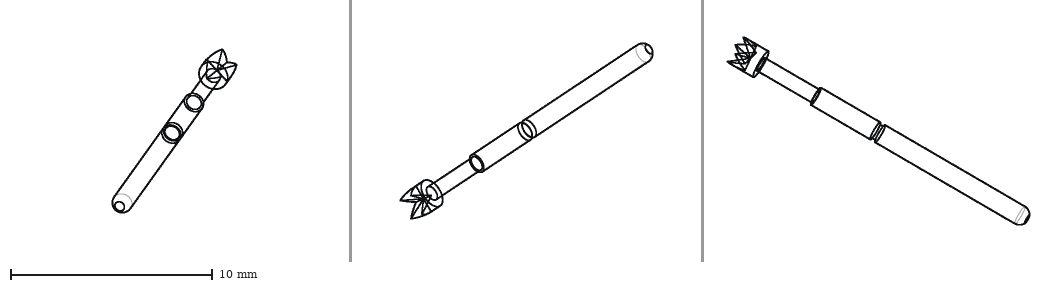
import cadquery as cq
import math

total_length = 17.0

head_diameter = 1.5
head_length = 1.5
crown_depth = 0.9
tooth_count = 4

plunger_diameter = 0.76
plunger_exposed_length = 3.2

sleeve_diameter = 1.0
tail_flat_diameter = 0.5

groove_offset = 3.6
groove_width = 0.28
groove_depth = 0.11

head_radius = head_diameter / 2
sleeve_radius = sleeve_diameter / 2
head_base = total_length - head_length
sleeve_length = head_base - plunger_exposed_length


def make_sleeve():
    """Revolved sleeve with a ball tail ending in a flat and a round-bottomed groove around it."""
    tail_flat_radius = tail_flat_diameter / 2
    ball_center_y = math.sqrt(sleeve_radius**2 - tail_flat_radius**2)
    flat_rim_angle = math.acos(tail_flat_radius / sleeve_radius)
    arc_mid = (
        sleeve_radius * math.cos(flat_rim_angle / 2),
        ball_center_y - sleeve_radius * math.sin(flat_rim_angle / 2),
    )
    groove_y = sleeve_length - groove_offset
    profile = (
        cq.Workplane("XY")
        .lineTo(tail_flat_radius, 0)
        .threePointArc(arc_mid, (sleeve_radius, ball_center_y))
        .lineTo(sleeve_radius, groove_y - groove_width / 2)
        .threePointArc(
            (sleeve_radius - groove_depth, groove_y),
            (sleeve_radius, groove_y + groove_width / 2),
        )
        .lineTo(sleeve_radius, sleeve_length)
        .lineTo(0, sleeve_length)
        .close()
    )
    return profile.revolve(360, (0, 0, 0), (0, 1, 0))


def cylinder_along_y(diameter, start, length):
    return cq.Workplane("XZ", origin=(0, start, 0)).circle(diameter / 2).extrude(-length)


def make_crown_head():
    """Cylindrical head cut by V notches through its axis, leaving pointed teeth at +/-X and +/-Z."""
    head = cylinder_along_y(head_diameter, head_base, head_length)
    half_tooth_angle = 180 / tooth_count
    tip_offset = head_radius * math.sin(math.radians(half_tooth_angle))
    notch_height = 2 * crown_depth
    notch_half_width = tip_offset * notch_height / crown_depth
    valley_y = total_length - crown_depth
    notch = (
        cq.Workplane("XY")
        .moveTo(0, valley_y)
        .lineTo(notch_half_width, valley_y + notch_height)
        .lineTo(-notch_half_width, valley_y + notch_height)
        .close()
        .extrude(head_diameter, both=True)
    )
    for index in range(tooth_count // 2):
        angle = half_tooth_angle + index * 360 / tooth_count
        head = head.cut(notch.rotate((0, 0, 0), (0, 1, 0), angle))
    return head


sleeve = make_sleeve()
plunger = cylinder_along_y(plunger_diameter, sleeve_length, plunger_exposed_length)
result = sleeve.union(plunger).union(make_crown_head())